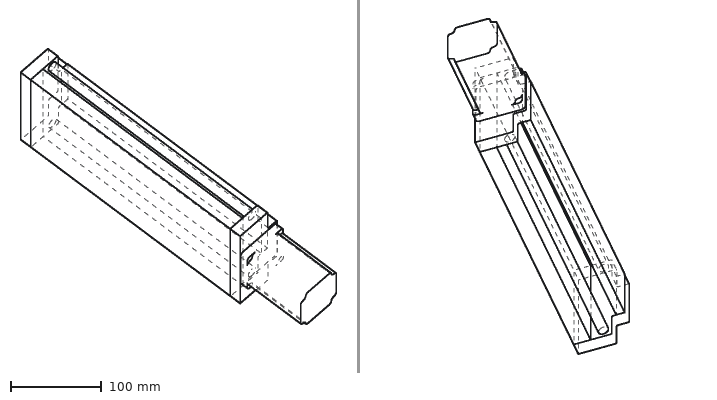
import cadquery as cq
import math

total_length = 420.0
height = 125.0
depth = 60.0
mid_z = height / 2

plate_thickness = 15.0
shoulder_depth = 45.0
tongue_height = 65.0
shoulder_radius = 2.0
rear_corner_radius = 2.0

motor_length = 90.0
motor_size = 58.0
motor_y = depth / 2
flange_thickness = 10.0
cap_length = 30.0
motor_corner_radius = 4.0

span_start = plate_thickness
motor_start = total_length - motor_length
span_end = motor_start - plate_thickness
span = span_end - span_start
front_slab_thickness = 20.0
back_slab_thickness = 10.0
rod_diameter = 12.0
rod_inset = 10.0
rod_y = (front_slab_thickness + depth - back_slab_thickness) / 2


def section(x):
    """Sketch plane facing +X at mid height: local x is Y, local y is Z."""
    return cq.Workplane("YZ", origin=(x, 0, mid_z))


def round_edges(body, x, points, radius):
    """Round the edges along X whose midpoints lie at the given x and (y, z) points."""
    for y, z in points:
        body = body.edges(cq.NearestToPointSelector((x, y, mid_z + z))).fillet(radius)
    return body


def end_plate(x):
    """Plate with a rear tongue, rounded at the shoulders and the rear corners."""
    half_height = height / 2
    half_tongue = tongue_height / 2
    plate = (
        section(x)
        .moveTo(0, -half_height)
        .lineTo(shoulder_depth, -half_height)
        .lineTo(shoulder_depth, -half_tongue)
        .lineTo(depth, -half_tongue)
        .lineTo(depth, half_tongue)
        .lineTo(shoulder_depth, half_tongue)
        .lineTo(shoulder_depth, half_height)
        .lineTo(0, half_height)
        .close()
        .extrude(plate_thickness)
    )
    middle_x = x + plate_thickness / 2
    for side in (-1, 1):
        shoulder = [(shoulder_depth, side * half_tongue)]
        rear_corners = [(shoulder_depth, side * half_height), (depth, side * half_tongue)]
        plate = round_edges(plate, middle_x, shoulder, shoulder_radius)
        plate = round_edges(plate, middle_x, rear_corners, rear_corner_radius)
    return plate


def slab(y, thickness, slab_height):
    """Flat slab between the end plates, with its front face at the given y."""
    return section(span_start).center(y + thickness / 2, 0).rect(thickness, slab_height).extrude(span)


def guide_rod(z):
    """Plain round rod between the end plates, at height z from the mid plane."""
    return section(span_start).center(rod_y, z).circle(rod_diameter / 2).extrude(span)


def notched_bar(x, length):
    """Square bar whose four corners are S-curved notches made of equal quarter arcs."""
    half = motor_size / 2
    r = motor_corner_radius
    bow = r * (1 - math.sqrt(0.5))
    corner_start = (0, 3 * r)
    corner_arcs = [
        ((bow, 2 * r + bow), (r, 2 * r)),
        ((2 * r - bow, 2 * r - bow), (2 * r, r)),
        ((2 * r + bow, bow), (3 * r, 0)),
    ]

    def corner_point(inset, quarter_turns):
        """Inset point of the first corner, turned about the bar axis."""
        y = half - inset[0]
        z = half - inset[1]
        for _ in range(quarter_turns):
            y, z = -z, y
        return (y, z)

    outline = section(x).center(motor_y, 0).moveTo(*corner_point(corner_start, 0))
    for turn in range(4):
        if turn > 0:
            outline = outline.lineTo(*corner_point(corner_start, turn))
        for middle, end in corner_arcs:
            outline = outline.threePointArc(corner_point(middle, turn), corner_point(end, turn))
    return outline.close().extrude(length)


def motor():
    """One solid: flange, notched body and end cap; a seam line marks the start of the cap."""
    cap_start = total_length - cap_length
    body_start = motor_start + flange_thickness
    flange = (
        section(motor_start)
        .center(motor_y, 0)
        .rect(motor_size, motor_size)
        .extrude(flange_thickness)
        .edges("|X")
        .fillet(motor_corner_radius)
    )
    front = flange.union(notched_bar(body_start, cap_start - body_start))
    return front.union(notched_bar(cap_start, cap_length), clean=False)


end_plates = [end_plate(x) for x in (0, span_end)]
front_slab = slab(0, front_slab_thickness, height)
back_slab = slab(depth - back_slab_thickness, back_slab_thickness, tongue_height)
guide_rods = [guide_rod(side * (height / 2 - rod_inset)) for side in (-1, 1)]
stepper_motor = motor()

result = cq.Compound.makeCompound([
    *[plate.val() for plate in end_plates],
    front_slab.val(),
    back_slab.val(),
    *[rod.val() for rod in guide_rods],
    stepper_motor.solids().val(),
])